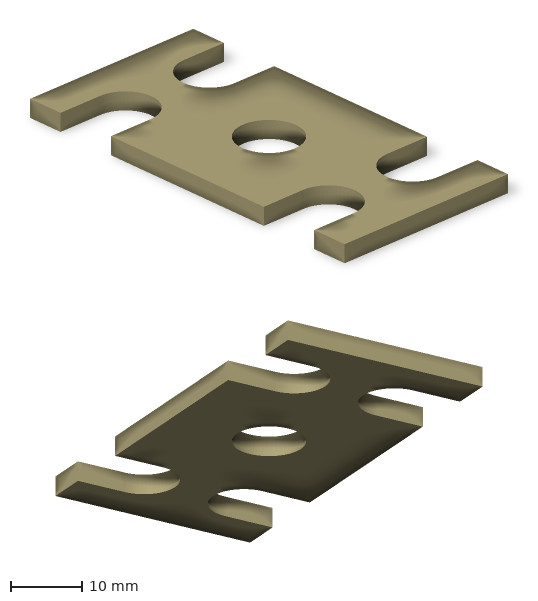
import cadquery as cq

length = 63.5
width = 31.75
thickness = 3.0

hole_diameter = 10.4

slot_width = 10.15
end_bar_width = 6.15
web_width = 6.15

slot_radius = slot_width / 2
slot_x = length / 2 - end_bar_width - slot_radius
slot_arc_y = web_width / 2 + slot_radius


def edge_slot(side_x, side_y):
    """Cutter for one slot, open at the plate edge on the side_y side."""
    center_x = side_x * slot_x
    arc_y = side_y * slot_arc_y
    edge_y = side_y * width / 2
    return (
        cq.Workplane("XY")
        .moveTo(center_x - slot_radius, edge_y)
        .lineTo(center_x - slot_radius, arc_y)
        .threePointArc((center_x, arc_y - side_y * slot_radius), (center_x + slot_radius, arc_y))
        .lineTo(center_x + slot_radius, edge_y)
        .close()
        .extrude(thickness)
    )


plate = cq.Workplane("XY").rect(length, width).extrude(thickness)
center_hole = cq.Workplane("XY").circle(hole_diameter / 2).extrude(thickness)

result = plate.cut(center_hole)
for side_x in (-1, 1):
    for side_y in (-1, 1):
        result = result.cut(edge_slot(side_x, side_y))